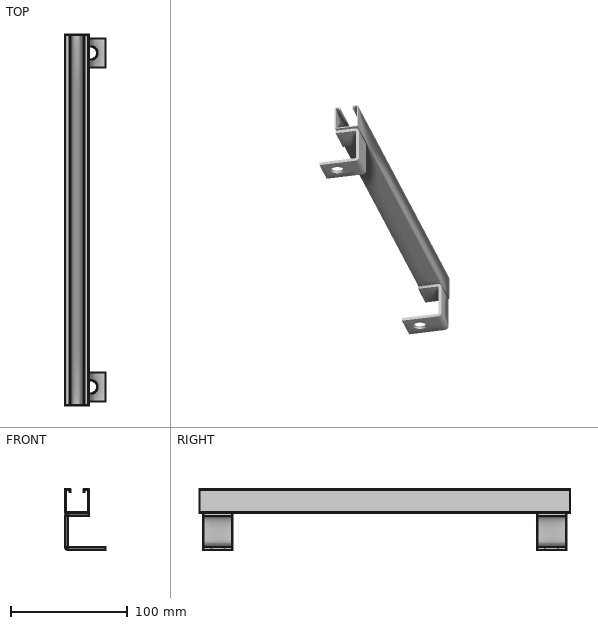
import cadquery as cq

rail_length = 317.5
rail_width = 20.5
rail_height = 20.5
rail_wall = 1.0
rail_corner_radius = 1.0
lip_width = 4.8
lip_depth = 3.0

overall_width = 35.0
overall_height = 52.5
bracket_height = overall_height - rail_height
bracket_length = 25.0
bracket_thickness = 2.5
bend_radius = 3.5
bend_inner_radius = bend_radius - bracket_thickness
bracket_end_offset = 3.2
hole_diameter = 11.0
hole_x = 22.2


def extrude_along_y(section, start, length):
    """Extrude an XZ section from y = start towards +Y."""
    return section.extrude(-length).translate((0, start, 0))


def make_rail():
    """C-section channel with inward lips turned down at the slot."""
    bottom = bracket_height
    top = overall_height
    slot_width = rail_width - 2 * lip_width
    outer = cq.Workplane("XZ").moveTo(rail_width / 2, (bottom + top) / 2).rect(rail_width, rail_height)
    rail = extrude_along_y(outer, 0, rail_length)
    rail = rail.edges("|Y").fillet(rail_corner_radius)

    cavity_section = (
        cq.Workplane("XZ")
        .moveTo(rail_wall, bottom + rail_wall)
        .lineTo(rail_width - rail_wall, bottom + rail_wall)
        .lineTo(rail_width - rail_wall, top - rail_wall)
        .lineTo(rail_width - lip_width + rail_wall, top - rail_wall)
        .lineTo(rail_width - lip_width + rail_wall, top - lip_depth)
        .lineTo(lip_width - rail_wall, top - lip_depth)
        .lineTo(lip_width - rail_wall, top - rail_wall)
        .lineTo(rail_wall, top - rail_wall)
        .close()
    )
    rail = rail.cut(extrude_along_y(cavity_section, 0, rail_length))

    slot = cq.Workplane("XZ").moveTo(rail_width / 2, top - lip_depth / 2).rect(slot_width, lip_depth)
    rail = rail.cut(extrude_along_y(slot, 0, rail_length))

    slot_edges = cq.selectors.BoxSelector(
        (lip_width / 2, 0, top - rail_wall / 2),
        (rail_width - lip_width / 2, rail_length, top + rail_wall / 2),
    )
    return rail.edges("|Y").edges(slot_edges).fillet(rail_corner_radius)


def make_bracket(start):
    """Strip bent into a top flange, an upright and a longer foot with a hole."""
    section = (
        cq.Workplane("XZ")
        .lineTo(overall_width, 0)
        .lineTo(overall_width, bracket_thickness)
        .lineTo(bracket_thickness, bracket_thickness)
        .lineTo(bracket_thickness, bracket_height - bracket_thickness)
        .lineTo(rail_width, bracket_height - bracket_thickness)
        .lineTo(rail_width, bracket_height)
        .lineTo(0, bracket_height)
        .close()
    )
    bracket = extrude_along_y(section, start, bracket_length)
    bracket = bracket.edges("|Y").edges("<X").fillet(bend_radius)
    inner_bends = cq.selectors.BoxSelector(
        (bracket_thickness / 2, start, bracket_thickness / 2),
        (bracket_thickness * 2, start + bracket_length, bracket_height - bracket_thickness / 2),
    )
    bracket = bracket.edges("|Y").edges(inner_bends).fillet(bend_inner_radius)

    hole = (
        cq.Workplane("XY")
        .center(hole_x, start + bracket_length / 2)
        .circle(hole_diameter / 2)
        .extrude(bracket_thickness)
    )
    return bracket.cut(hole)


rail = make_rail()
bracket_starts = [bracket_end_offset, rail_length - bracket_end_offset - bracket_length]
brackets = [make_bracket(start) for start in bracket_starts]

result = cq.Compound.makeCompound([rail.val(), *[bracket.val() for bracket in brackets]])